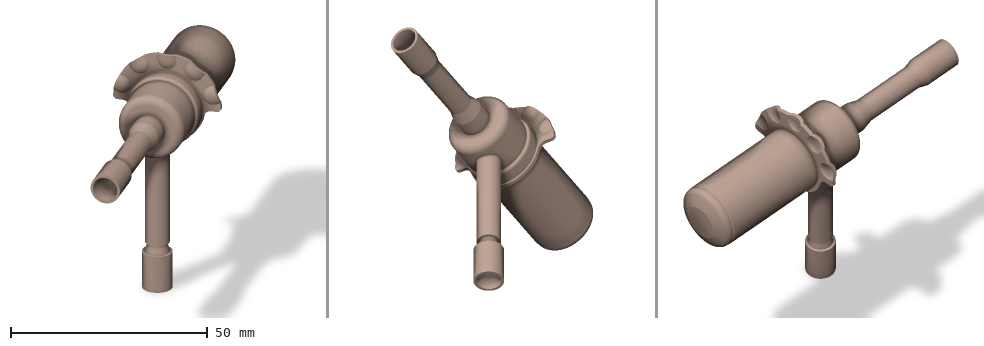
import cadquery as cq
import math


body_d = 17.3
body_front_y = 37.9
body_rear_y = 86.7
front_fillet = 2.0
rim_y = 83.1
rim_chamfer = 0.3
head_ridge_d = 15.8
head_ridge_y = 85.3
head_flat_d = 9.2
head_side_bulge = 0.35
head_end_bulge = 0.2

tube_d = 6.3
tube_bore_d = 4.5
socket_d = 7.8
socket_bore_d = 6.4
socket_length = 10.1
socket_cone_length = 2.6
neck_d = 8.1
neck_length = 4.9
neck_cone_length = 3.4
orifice_d = 1.0
side_tube_y = 44.7
side_tube_end_z = -47.1
side_cone_small_d = 4.9

sheet = 1.0
bracket_rear_y = 54.0
bracket_front_y = 48.9
collar_d = 19.0
collar_fillet = 0.8
collar_root_fillet = 0.3
flange_r = 14.4
rim_r = 9.9
tip_fillet = 1.0
root_fillet = 2.25
dimple_count = 5
dimple_pitch = 35.0
dimple_width = 4.9
dimple_height = 0.95
dimple_centre_r = 12.8

body_r = body_d / 2
tube_r = tube_d / 2
socket_cone_end = socket_length + socket_cone_length
neck_y = body_front_y - neck_length
neck_cone_y = neck_y - neck_cone_length
plate_front_y = bracket_rear_y - sheet


def bowed_middle(start, end, bulge):
    """Middle point of an arc that bows outwards, away from the axis, by bulge."""
    dx = end[0] - start[0]
    dy = end[1] - start[1]
    chord = math.hypot(dx, dy)
    return (
        (start[0] + end[0]) / 2 + bulge * dy / chord,
        (start[1] + end[1]) / 2 - bulge * dx / chord,
    )


def main_shell():
    """Body, neck and front tube as one turned outline (radius, Y)."""
    head_start = (body_r - rim_chamfer, rim_y + rim_chamfer)
    ridge = (head_ridge_d / 2, head_ridge_y)
    head_end = (head_flat_d / 2, body_rear_y)
    fillet_middle = front_fillet * (1 - math.cos(math.pi / 4))
    return (
        cq.Workplane("XY")
        .moveTo(0, 0)
        .lineTo(socket_d / 2, 0)
        .lineTo(socket_d / 2, socket_length)
        .lineTo(tube_r, socket_cone_end)
        .lineTo(tube_r, neck_cone_y)
        .lineTo(neck_d / 2, neck_y)
        .lineTo(neck_d / 2, body_front_y)
        .lineTo(body_r - front_fillet, body_front_y)
        .threePointArc(
            (body_r - fillet_middle, body_front_y + fillet_middle),
            (body_r, body_front_y + front_fillet),
        )
        .lineTo(body_r, rim_y)
        .lineTo(*head_start)
        .threePointArc(bowed_middle(head_start, ridge, head_side_bulge), ridge)
        .threePointArc(bowed_middle(ridge, head_end, head_end_bulge), head_end)
        .lineTo(0, body_rear_y)
        .close()
        .revolve(360, (0, 0), (0, 1))
    )


def front_passage():
    """Socket bore, tube bore and orifice, ending at the side passage."""
    return (
        cq.Workplane("XY")
        .moveTo(0, 0)
        .lineTo(socket_bore_d / 2, 0)
        .lineTo(socket_bore_d / 2, socket_length)
        .lineTo(tube_bore_d / 2, socket_cone_end)
        .lineTo(tube_bore_d / 2, body_front_y)
        .lineTo(orifice_d / 2, body_front_y)
        .lineTo(orifice_d / 2, side_tube_y)
        .lineTo(0, side_tube_y)
        .close()
        .revolve(360, (0, 0), (0, 1))
    )


def side_tube():
    """Tube going down, with a stepped cone above its socket."""
    ledge_z = side_tube_end_z + socket_length
    cone_top_z = ledge_z + socket_cone_length
    return (
        cq.Workplane("XZ")
        .moveTo(0, side_tube_end_z)
        .lineTo(socket_d / 2, side_tube_end_z)
        .lineTo(socket_d / 2, ledge_z)
        .lineTo(tube_r, ledge_z)
        .lineTo(side_cone_small_d / 2, cone_top_z)
        .lineTo(tube_r, cone_top_z)
        .lineTo(tube_r, 0)
        .lineTo(0, 0)
        .close()
        .revolve(360, (0, 0), (0, 1))
        .translate((0, side_tube_y, 0))
    )


def side_passage():
    """Bore of the side tube up to the main axis; the wide part stops one wall below the ledge."""
    wall = (socket_d - socket_bore_d) / 2
    bore_length = -side_tube_end_z
    base = cq.Workplane("XY", origin=(0, side_tube_y, side_tube_end_z))
    bore = base.circle(tube_bore_d / 2).extrude(bore_length)
    return bore.union(base.circle(socket_bore_d / 2).extrude(socket_length - wall))


def make_valve():
    solid = main_shell().union(side_tube())
    return solid.cut(front_passage()).cut(side_passage())


def along_y(radius, start, end):
    """Cylinder on the main axis between two Y positions."""
    return cq.Workplane("XZ", origin=(0, start, 0)).circle(radius).extrude(start - end)


def flange_blank():
    """Flat plate: a half disc above the axis and a narrow rim below it."""
    upper_half = (
        cq.Workplane("XZ", origin=(0, plate_front_y, 0))
        .moveTo(-flange_r, 0)
        .threePointArc((0, flange_r), (flange_r, 0))
        .close()
        .extrude(-sheet)
        .edges("|Y")
        .fillet(tip_fillet)
    )
    plate = upper_half.union(along_y(rim_r, plate_front_y, bracket_rear_y))
    corner_reach = rim_r + sheet
    root_corners = cq.selectors.BoxSelector(
        (-corner_reach, plate_front_y, -sheet), (corner_reach, bracket_rear_y, sheet)
    )
    return plate.edges("|Y").edges(root_corners).fillet(root_fillet)


def dimple_form(radius, centre_y, angle):
    """Round-ended trough pointing outwards, turned about the main axis by angle."""
    ball = cq.Workplane("XY").sphere(radius)
    trough = cq.Workplane("XY").circle(radius).extrude(flange_r)
    form = ball.union(trough).translate((0, centre_y, dimple_centre_r))
    return form.rotate((0, 0, 0), (0, 1, 0), angle)


def collar_form():
    """Solid collar outline with a rounded front edge and a small fillet ring against the flange."""
    collar_r = collar_d / 2
    ring_r = collar_r + collar_root_fillet
    ring_front_y = plate_front_y - collar_root_fillet
    collar = along_y(collar_r, bracket_front_y, bracket_rear_y).faces("<Y").edges().fillet(collar_fillet)
    root = (
        cq.Workplane("XY")
        .moveTo(0, plate_front_y)
        .lineTo(ring_r, plate_front_y)
        .radiusArc((collar_r, ring_front_y), -collar_root_fillet)
        .lineTo(0, ring_front_y)
        .close()
        .revolve(360, (0, 0), (0, 1))
    )
    return collar.union(root)


def make_bracket():
    plate = flange_blank()
    dimple_r = ((dimple_width / 2) ** 2 + dimple_height**2) / (2 * dimple_height)
    centre_y = plate_front_y - dimple_height + dimple_r
    raised_zone = along_y(flange_r, plate_front_y - dimple_height, bracket_rear_y)
    for index in range(dimple_count):
        angle = (index - (dimple_count - 1) / 2) * dimple_pitch
        plate = plate.union(dimple_form(dimple_r, centre_y, angle).intersect(raised_zone))
        plate = plate.cut(dimple_form(dimple_r, centre_y + sheet, angle))
    return plate.union(collar_form()).cut(along_y(body_r, bracket_front_y, bracket_rear_y))


valve = make_valve()
bracket = make_bracket()

result = cq.Compound.makeCompound([valve.val(), bracket.val()])